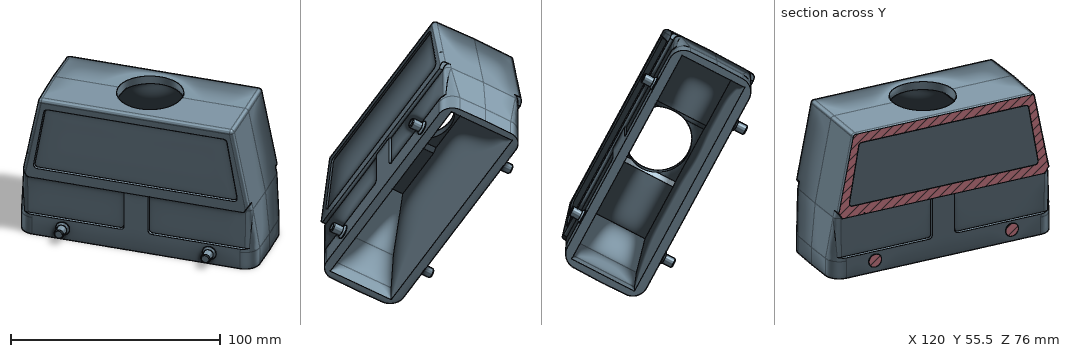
import cadquery as cq
import math

length = 120.0
height = 76.0
ridge_slope = math.radians(1.0)
skirt_height = 9.1
shoulder_height = 31.9
shoulder_half_length = 58.0
top_half_length = 49.2
hood_half_width = 22.5
skirt_half_width = 21.4
hood_edge_radius = 1.9
skirt_corner_radius = 7.5
shoulder_corner_radius = 3.6

pad_depth = 0.8
pad_bottom = 10.8
pad_inner_x = 6.0
pad_corner_radius = 2.0
pad_half_width = skirt_half_width - pad_depth
pad_wrap_radius_bottom = 5.3
pad_wrap_radius_top = 2.8
pad_wrap_y = pad_half_width - pad_wrap_radius_top
pad_wrap_x = shoulder_half_length - pad_wrap_radius_bottom

notch_height = 3.5
notch_inner_x = 54.5
notch_outer_x = 56.8

panel_bottom = 37.2
panel_top = 70.5
panel_half_bottom = 51.6
panel_half_top = 45.8
panel_corner_radius = 2.0
panel_depth = 0.8
recess_wall_angle = 30.0

pin_x = 36.8
pin_z = 6.0
pin_diameter = 4.8
pin_span = 55.5
pin_chamfer = 0.5
pin_tip = pin_span / 2
collar_diameter = 7.0
collar_length = 1.3
collar_rim = 0.4

entry_diameter = 32.0
roof_thickness = 4.5
thin_roof_half_length = 14.5
ramp_length = 2.4
ramp_drop = 1.8
wall = 3.6

half_length = length / 2
clearance = 6.0
outside = half_length + clearance


def plan(half_x, half_y, radius=0.0):
    """Rectangle with slightly pointed ends and optionally rounded side corners."""
    side_x = half_x - half_y * math.tan(ridge_slope)
    points = [
        (-half_x, 0), (-side_x, -half_y), (side_x, -half_y),
        (half_x, 0), (side_x, half_y), (-side_x, half_y), (-half_x, 0),
    ]
    sketch = cq.Sketch().polygon(points)
    if radius:
        sketch = sketch.vertices(">Y or <Y").fillet(radius)
    return sketch


def tapered(lower, upper, z_lower, z_upper):
    """Ruled solid between two plans."""
    raised = upper.moved(cq.Location(cq.Vector(0, 0, z_upper - z_lower)))
    return cq.Workplane("XY").workplane(offset=z_lower).placeSketch(lower, raised).loft(ruled=True)


def side_prism(points, y_from, y_to):
    """Prism along Y from an outline in X and Z."""
    return cq.Workplane("XZ", origin=(0, y_from, 0)).polyline(points).close().extrude(y_from - y_to)


def on_both_sides(solid):
    return solid.union(solid.mirror("XZ"))


def on_four_corners(solid):
    return on_both_sides(solid.union(solid.mirror("YZ")))


def make_hood():
    hood = tapered(
        plan(shoulder_half_length, hood_half_width),
        plan(top_half_length, hood_half_width),
        shoulder_height, height,
    )
    eave = height - hood_half_width * math.tan(ridge_slope)
    roof = (
        cq.Workplane("YZ", origin=(-outside, 0, 0))
        .polyline([
            (-hood_half_width, 0), (hood_half_width, 0), (hood_half_width, eave),
            (0, height), (-hood_half_width, eave),
        ])
        .close()
        .extrude(2 * outside)
    )
    hood = hood.intersect(roof)
    middle_edges = cq.selectors.BoxSelector((-outside, -1.2, 0), (outside, 1.2, 2 * height))
    outer_edges = hood.edges(cq.StringSyntaxSelector("not(<Z)") - middle_edges)
    return outer_edges.fillet(hood_edge_radius)


def make_skirt():
    band = cq.Workplane("XY").placeSketch(
        plan(half_length, skirt_half_width, skirt_corner_radius)
    ).extrude(skirt_height)
    flank = tapered(
        plan(half_length, skirt_half_width, skirt_corner_radius),
        plan(shoulder_half_length, skirt_half_width, shoulder_corner_radius),
        skirt_height, shoulder_height,
    )
    return band.union(flank)


def make_pad_core():
    """Inner surface of the side pads, with a cone wrapped round each corner."""
    core = tapered(
        plan(half_length, pad_half_width, pad_wrap_radius_bottom),
        plan(shoulder_half_length, pad_half_width, pad_wrap_radius_top),
        skirt_height, shoulder_height,
    )
    hood_slope = (shoulder_half_length - top_half_length) / (height - shoulder_height)
    neck = tapered(
        plan(shoulder_half_length, pad_half_width, pad_wrap_radius_top),
        plan(shoulder_half_length - notch_height * hood_slope, pad_half_width, pad_wrap_radius_top),
        shoulder_height, shoulder_height + notch_height,
    )
    return core.union(neck)


def make_recess(points, radius, surface_y, depth):
    """Rounded recess sunk from a side surface, narrowing toward its floor."""
    outline = cq.Sketch().polygon(points + points[:1]).vertices().fillet(radius)
    return (
        cq.Workplane("XZ", origin=(0, surface_y, 0))
        .placeSketch(outline)
        .extrude(depth, taper=recess_wall_angle)
    )


def make_pad():
    """Flat pad up to the lip, carried on round the skirt corner."""
    overrun = 2 * pad_corner_radius
    floor_inset = pad_depth * math.tan(math.radians(recess_wall_angle))
    flat = make_recess(
        [
            (pad_inner_x, pad_bottom), (outside, pad_bottom),
            (outside, shoulder_height + overrun), (pad_inner_x, shoulder_height + overrun),
        ],
        pad_corner_radius, skirt_half_width, pad_depth,
    )
    below_lip = cq.Workplane("XY").box(
        2 * outside, 2 * outside, shoulder_height, centered=(True, True, False)
    )
    corner_bottom = pad_bottom + floor_inset
    corner = cq.Workplane("XY", origin=(pad_wrap_x, pad_wrap_y, corner_bottom)).box(
        outside, outside, shoulder_height - corner_bottom, centered=False
    )
    return flat.intersect(below_lip).union(corner)


def make_notch():
    z_top = shoulder_height + notch_height
    outline = [
        (notch_inner_x, shoulder_height), (notch_outer_x, z_top),
        (outside, z_top), (outside, shoulder_height),
    ]
    return side_prism(outline, pad_wrap_y, outside)


def make_panel():
    return make_recess(
        [
            (-panel_half_bottom, panel_bottom), (panel_half_bottom, panel_bottom),
            (panel_half_top, panel_top), (-panel_half_top, panel_top),
        ],
        panel_corner_radius, hood_half_width, panel_depth,
    )


def make_pin():
    collar_radius = collar_diameter / 2
    pin_radius = pin_diameter / 2
    root = skirt_half_width - wall / 2
    return (
        cq.Workplane("XY", origin=(pin_x, 0, pin_z))
        .polyline([
            (0, root), (collar_radius, root), (collar_radius, skirt_half_width + collar_rim),
            (pin_radius, skirt_half_width + collar_length),
            (pin_radius, pin_tip - pin_chamfer), (pin_radius - pin_chamfer, pin_tip),
            (0, pin_tip),
        ])
        .close()
        .revolve(360, (0, 0, 0), (0, 1, 0))
    )


def make_cavity():
    ceiling = height - roof_thickness
    cavity_half_width = pad_half_width - wall
    outline = [
        (half_length - wall, 0), (half_length - wall, skirt_height),
        (shoulder_half_length - wall, shoulder_height),
        (top_half_length - wall, ceiling - ramp_drop),
        (thin_roof_half_length + ramp_length, ceiling - ramp_drop),
        (thin_roof_half_length, ceiling),
    ]
    mirrored = [(-x, z) for x, z in reversed(outline)]
    return side_prism(outline + mirrored, -cavity_half_width, cavity_half_width)


def make_entry():
    return cq.Workplane("XY", origin=(0, 0, height / 2)).circle(entry_diameter / 2).extrude(height)


side_cut = make_pad().union(make_notch()).cut(make_pad_core())
result = (
    make_hood()
    .union(make_skirt())
    .cut(on_four_corners(side_cut))
    .cut(on_both_sides(make_panel()))
    .union(on_four_corners(make_pin()))
    .cut(make_cavity())
    .cut(make_entry())
)